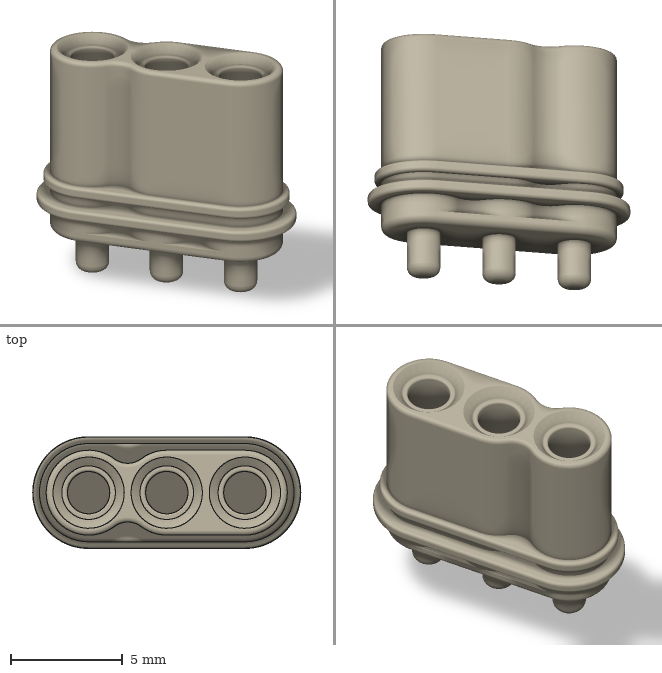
import cadquery as cq
import math


OVERALL_LENGTH = 12.0
LOWER_FLANGE_WIDTH = 5.0
UPPER_FLANGE_WIDTH = 4.4
CORE_WIDTH = 3.8
NECK_RADIUS = 1.0
PITCH = (OVERALL_LENGTH - LOWER_FLANGE_WIDTH) / 2
CONTACT_X = [-PITCH, 0.0, PITCH]

OVERALL_HEIGHT = 10.8
TAIL_LENGTH = 2.0
HOUSING_HEIGHT = OVERALL_HEIGHT - TAIL_LENGTH
BASE_THICKNESS = 0.5
FLANGE_THICKNESS = 0.5
LOWER_FLANGE_Z = 1.3
FLANGE_SPACING = 1.0
UPPER_FLANGE_Z = LOWER_FLANGE_Z + FLANGE_SPACING

TOP_FILLET = 0.2
BASE_FILLET = 0.3
FLANGE_FILLET = 0.15

BARREL_DIAMETER = 2.4
BORE_DIAMETER = 1.9
TAIL_DIAMETER = 1.5
ENTRY_CHAMFER = 0.4
MOUTH_FILLET = 0.1
TAIL_FILLET = 0.4
BARREL_TOP_Z = HOUSING_HEIGHT - ENTRY_CHAMFER
BARREL_BOTTOM_Z = BASE_THICKNESS
BORE_FLOOR_Z = LOWER_FLANGE_Z


def cylinder(x, diameter, bottom_z, top_z):
    """Upright cylinder on the contact row."""
    return (
        cq.Workplane("XY", origin=(x, 0, bottom_z))
        .circle(diameter / 2)
        .extrude(top_z - bottom_z)
    )


def stadium(width, bottom_z, height):
    """Round-ended plate whose end arcs are centred on the outer contacts."""
    length = CONTACT_X[-1] - CONTACT_X[0] + width
    return cq.Workplane("XY", origin=(0, 0, bottom_z)).slot2D(length, width).extrude(height)


def straight_web(middle_x, bottom_z, height):
    """Flat-sided web joining two neighbouring lobes."""
    return cq.Workplane("XY", origin=(middle_x, 0, bottom_z)).rect(PITCH, CORE_WIDTH).extrude(height)


def necked_web(middle_x, bottom_z, height):
    """Waisted web whose concave sides run tangent into two neighbouring lobes."""
    lobe_radius = CORE_WIDTH / 2
    centre_distance = lobe_radius + NECK_RADIUS
    neck_centre_y = math.sqrt(centre_distance**2 - (PITCH / 2) ** 2)
    half_waist = neck_centre_y - NECK_RADIUS
    tangent_x = PITCH / 2 * NECK_RADIUS / centre_distance
    tangent_y = neck_centre_y * lobe_radius / centre_distance
    return (
        cq.Workplane("XY", origin=(middle_x, 0, bottom_z))
        .moveTo(-tangent_x, -tangent_y)
        .threePointArc((0, -half_waist), (tangent_x, -tangent_y))
        .lineTo(tangent_x, tangent_y)
        .threePointArc((0, half_waist), (-tangent_x, tangent_y))
        .close()
        .extrude(height)
    )


def lobed_core(left_web, right_web, bottom_z, top_z):
    """Three round lobes joined by the two given webs."""
    height = top_z - bottom_z
    core = left_web(-PITCH / 2, bottom_z, height).union(right_web(PITCH / 2, bottom_z, height))
    for x in CONTACT_X:
        core = core.union(cylinder(x, CORE_WIDTH, bottom_z, top_z))
    return core


def flange(width, bottom_z):
    """Sealing flange with rounded upper and lower rims."""
    return stadium(width, bottom_z, FLANGE_THICKNESS).faces("<Z or >Z").edges().fillet(FLANGE_FILLET)


def make_contact(x):
    """Socket contact: bored barrel with a rounded mouth, and a round-tipped tail."""
    barrel = cylinder(x, BARREL_DIAMETER, BARREL_BOTTOM_Z, BARREL_TOP_Z)
    bore = cylinder(x, BORE_DIAMETER, BORE_FLOOR_Z, BARREL_TOP_Z)
    socket = barrel.cut(bore)
    mouth_edge = cq.selectors.RadiusNthSelector(0)
    socket = socket.faces(">Z").edges(mouth_edge).fillet(MOUTH_FILLET)
    tail = cylinder(x, TAIL_DIAMETER, -TAIL_LENGTH, BARREL_BOTTOM_Z)
    tail = tail.faces("<Z").edges().fillet(TAIL_FILLET)
    return socket.union(tail).solids().val()


def cavity(x):
    """Stepped through-hole for one contact, flared by a 45-degree cone at its entry."""
    barrel_radius = BARREL_DIAMETER / 2
    tail_radius = TAIL_DIAMETER / 2
    mouth_radius = barrel_radius + ENTRY_CHAMFER
    return (
        cq.Workplane("XZ", origin=(x, 0, 0))
        .lineTo(tail_radius, 0)
        .lineTo(tail_radius, BARREL_BOTTOM_Z)
        .lineTo(barrel_radius, BARREL_BOTTOM_Z)
        .lineTo(barrel_radius, BARREL_TOP_Z)
        .lineTo(mouth_radius, HOUSING_HEIGHT)
        .lineTo(0, HOUSING_HEIGHT)
        .close()
        .revolve(360, (0, 0, 0), (0, 1, 0))
    )


def make_housing():
    """Base plate, waisted lower core, two flanges and keyed tower, with the contact cavities."""
    base = stadium(CORE_WIDTH, 0, BASE_THICKNESS).faces("<Z").edges().fillet(BASE_FILLET)
    lower_core = lobed_core(necked_web, necked_web, BASE_THICKNESS, LOWER_FLANGE_Z)
    tower = lobed_core(necked_web, straight_web, LOWER_FLANGE_Z, HOUSING_HEIGHT)
    tower = tower.faces(">Z").edges().fillet(TOP_FILLET)
    housing = base.union(lower_core).union(tower)
    housing = housing.union(flange(LOWER_FLANGE_WIDTH, LOWER_FLANGE_Z))
    housing = housing.union(flange(UPPER_FLANGE_WIDTH, UPPER_FLANGE_Z))
    for x in CONTACT_X:
        housing = housing.cut(cavity(x))
    return housing.solids().val()


housing = make_housing()
contacts = [make_contact(x) for x in CONTACT_X]

result = cq.Compound.makeCompound([housing, *contacts])